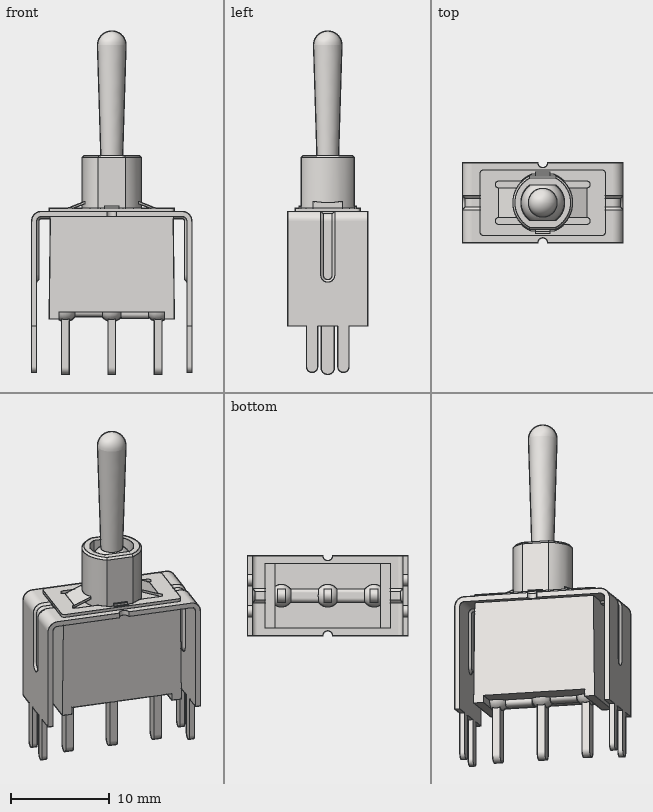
import cadquery as cq
import math

total_height = 34.85

bracket_length = 16.27
bracket_width = 8.12
bracket_top = 16.55
sheet = 0.52
bend_radius = 1.0
wall_bottom = 4.9
edge_notch_radius = 0.5

leg_tip = 0.2
leg_width = 1.15
leg_spacing = 3.17

rib_outer_width = 1.43
rib_floor_width = 0.9
rib_depth = 0.25
rib_bottom = 9.37

body_bottom_length = 12.72
body_top_length = 12.48
body_width = 6.55
body_bottom = 5.6
recess_length = 10.65
recess_depth = 0.73

terminal_pitch = 4.7
terminal_thickness = 0.8
terminal_width = 1.35
terminal_embedding = 0.52
resin_radius = 1.15
resin_drop = 0.95
resin_bar_length = 2.8
resin_bar_width = 1.4
resin_bar_round = 0.42
left_resin_bar_height = 0.5
right_resin_bar_height = 0.65

plate_length = 12.72
plate_width = 6.62
plate_thickness = 0.3
plate_corner = 0.35
plate_hole_radius = 3.1
plate_hole_flats = 5.8
tab_width = 3.0
tab_bend = 4.5
tab_tip = 2.72
tab_rise = 0.7
tab_thickness = 0.25
slot_width = 0.7
slot_end_x = 4.8
lug_width = 1.45
lug_span = 5.85
lug_rise = 0.2
lug_notch_span = 6.27

bushing_radius = 3.03
bushing_flats = 5.4
bushing_top = 22.2
bushing_chamfer = 0.2
bore_radius = 2.23
bore_flats = 3.62
ball_radius = 2.2
ball_joint = 22.0
lever_tip_radius = 1.45
lever_base_radius = 1.1

bracket_underside = bracket_top - sheet
plate_top = bracket_top + plate_thickness
recess_top = body_bottom + recess_depth
embedded_top = recess_top + terminal_embedding
ball_center = ball_joint - math.sqrt(ball_radius**2 - lever_base_radius**2)


def block(length, width, bottom, top):
    """Box centred on the Z axis between two heights."""
    return cq.Workplane("XY").workplane(offset=bottom).rect(length, width).extrude(top - bottom)


def both_ends(shape):
    """The shape together with its mirror image in X."""
    return shape.union(shape.mirror("YZ"))


def blade(x, y, width, thickness, tip, top):
    """Flat strip across X with a half-round lower end."""
    half = width / 2
    return (
        cq.Workplane("YZ", origin=(x, y, 0))
        .moveTo(-half, top)
        .lineTo(-half, tip + half)
        .threePointArc((0, tip), (half, tip + half))
        .lineTo(half, top)
        .close()
        .extrude(thickness / 2, both=True)
    )


def flatted_cylinder(radius, flats, bottom, top):
    """Cylinder with two parallel flats facing -Y and +Y."""
    cylinder = cq.Workplane("XY").workplane(offset=bottom).circle(radius).extrude(top - bottom)
    return cylinder.intersect(block(2 * radius, flats, bottom, top))


def rib(inset):
    """Tapered rib running over the +X bend of the bracket, starting `inset` below its outer skin."""
    skin_x = bracket_length / 2 - inset
    skin_z = bracket_top - inset
    radius = bend_radius - inset
    start_x = body_top_length / 2
    end_z = rib_bottom + rib_outer_width / 2
    diagonal = radius * (1 - math.sqrt(0.5))
    path = (
        cq.Workplane("XZ")
        .moveTo(start_x, skin_z)
        .lineTo(skin_x - radius, skin_z)
        .threePointArc((skin_x - diagonal, skin_z - diagonal), (skin_x, skin_z - radius))
        .lineTo(skin_x, end_z)
    )
    run = (
        cq.Workplane("YZ", origin=(start_x, 0, 0))
        .moveTo(-rib_outer_width / 2, skin_z)
        .lineTo(rib_outer_width / 2, skin_z)
        .lineTo(rib_floor_width / 2, skin_z - rib_depth)
        .lineTo(-rib_floor_width / 2, skin_z - rib_depth)
        .close()
        .sweep(path)
    )
    rounded_end = cq.Workplane(
        cq.Solid.makeCone(
            rib_outer_width / 2,
            rib_floor_width / 2,
            rib_depth,
            pnt=cq.Vector(skin_x, 0, end_z),
            dir=cq.Vector(-1, 0, 0),
        )
    )
    return run.union(rounded_end)


def make_bracket():
    shell = block(bracket_length, bracket_width, wall_bottom, bracket_top)
    shell = shell.edges("|Y and >Z").fillet(bend_radius)
    inside = block(bracket_length - 2 * sheet, bracket_width, wall_bottom, bracket_underside)
    inside = inside.edges("|Y and >Z").fillet(bend_radius - sheet)
    bracket = shell.cut(inside)

    edge_notches = (
        cq.Workplane("XY")
        .workplane(offset=bracket_underside)
        .pushPoints([(0, -bracket_width / 2), (0, bracket_width / 2)])
        .circle(edge_notch_radius)
        .extrude(sheet)
    )
    bracket = bracket.cut(edge_notches)
    bracket = bracket.union(both_ends(rib(sheet))).cut(both_ends(rib(0)))

    leg_x = (bracket_length - sheet) / 2
    for y in (-leg_spacing / 2, leg_spacing / 2):
        leg = blade(leg_x, y, leg_width, sheet, leg_tip, wall_bottom)
        bracket = bracket.union(both_ends(leg))
    return bracket


def make_body():
    """Housing whose ends taper slightly inward toward the top, with a recess across its underside."""
    housing = (
        cq.Workplane("XZ")
        .moveTo(-body_bottom_length / 2, body_bottom)
        .lineTo(body_bottom_length / 2, body_bottom)
        .lineTo(body_top_length / 2, bracket_underside)
        .lineTo(-body_top_length / 2, bracket_underside)
        .close()
        .extrude(body_width / 2, both=True)
    )
    return housing.cut(block(recess_length, body_width, body_bottom, recess_top))


def make_terminals():
    """Three terminals, each in a resin dome, with resin bars between the domes."""
    dome = (
        cq.Workplane("XZ")
        .moveTo(0, recess_top)
        .lineTo(resin_radius, recess_top)
        .threePointArc(
            (resin_radius * math.sqrt(0.5), recess_top - resin_drop * math.sqrt(0.5)),
            (0, recess_top - resin_drop),
        )
        .close()
        .revolve(360, (0, 0, 0), (0, 1, 0))
    )
    terminals = block(recess_length, resin_bar_width, recess_top, embedded_top)
    for x in (-terminal_pitch, 0, terminal_pitch):
        terminals = terminals.union(dome.translate((x, 0, 0)))
        terminals = terminals.union(blade(x, 0, terminal_width, terminal_thickness, 0, embedded_top))
    for side, height in ((-1, left_resin_bar_height), (1, right_resin_bar_height)):
        bar = block(resin_bar_length, resin_bar_width, recess_top - height, recess_top)
        bar = bar.edges("|X and <Z").fillet(resin_bar_round)
        terminals = terminals.union(bar.translate((side * terminal_pitch / 2, 0, 0)))
    return terminals.intersect(block(recess_length, body_width, 0, embedded_top))


def make_plate():
    plate = block(plate_length, plate_width, bracket_top, plate_top)
    plate = plate.edges("|Z").fillet(plate_corner)

    window = block(2 * tab_bend, tab_width, bracket_top, plate_top)
    slot_y = (tab_width + slot_width) / 2
    slots = (
        cq.Workplane("XY")
        .workplane(offset=bracket_top)
        .pushPoints([(0, -slot_y), (0, slot_y)])
        .slot2D(2 * slot_end_x, slot_width)
        .extrude(plate_thickness)
    )
    hole = flatted_cylinder(plate_hole_radius, plate_hole_flats, bracket_top, plate_top)
    plate = plate.cut(window).cut(slots).cut(hole)

    lug_notches = block(lug_width, lug_notch_span, bracket_top, plate_top)
    plate = plate.cut(lug_notches)

    tab = (
        cq.Workplane("XZ")
        .moveTo(tab_bend, plate_top)
        .lineTo(tab_tip, plate_top + tab_rise)
        .lineTo(tab_tip, plate_top + tab_rise - tab_thickness)
        .lineTo(tab_bend, plate_top - tab_thickness)
        .close()
        .extrude(tab_width / 2, both=True)
    )
    return plate.union(both_ends(tab))


def make_bushing():
    bushing = flatted_cylinder(bushing_radius, bushing_flats, bracket_top, bushing_top)
    bushing = bushing.faces(">Z").edges().chamfer(bushing_chamfer)
    bushing = bushing.union(block(lug_width, lug_span, plate_top, plate_top + lug_rise))
    return bushing.cut(flatted_cylinder(bore_radius, bore_flats, ball_center, bushing_top))


def make_lever():
    tip_center = total_height - lever_tip_radius
    diagonal = lever_tip_radius * math.sqrt(0.5)
    handle = (
        cq.Workplane("XZ")
        .moveTo(0, ball_center)
        .lineTo(lever_base_radius, ball_center)
        .lineTo(lever_base_radius, ball_joint)
        .lineTo(lever_tip_radius, tip_center)
        .threePointArc((diagonal, tip_center + diagonal), (0, total_height))
        .close()
        .revolve(360, (0, 0, 0), (0, 1, 0))
    )
    ball = cq.Workplane("XY").sphere(ball_radius).translate((0, 0, ball_center))
    ball = ball.intersect(block(2 * ball_radius, bore_flats, bracket_top, bushing_top))
    return handle.union(ball)


result = make_bracket()
for component in (make_body(), make_terminals(), make_plate(), make_bushing(), make_lever()):
    result = result.union(component)